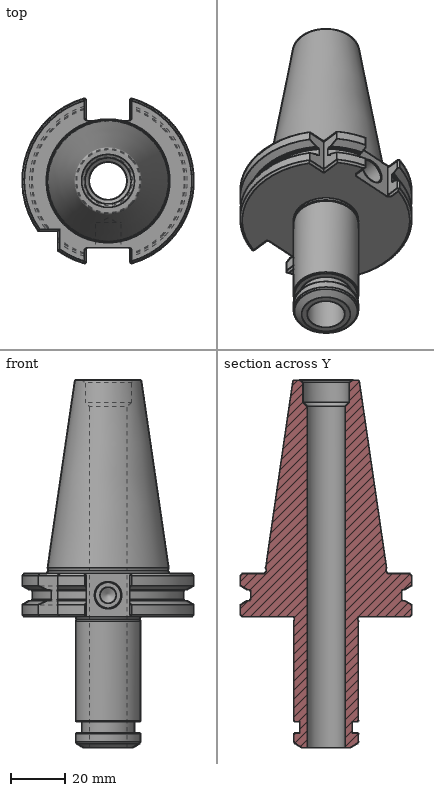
import cadquery as cq
import math

total_height = 135.8
flange_bottom = 48.3
flange_thickness = 16.0
flange_top = flange_bottom + flange_thickness
flange_middle = flange_bottom + flange_thickness / 2
gauge_height = 66.4

gauge_radius = 22.4
taper_half_angle = math.atan(7 / 48)
tip_radius = gauge_radius - (total_height - gauge_height) * math.tan(taper_half_angle)
tip_fillet = 0.8
taper_foot_radius = 22.8
relief_depth = 0.3

flange_radius = 63.4 / 2
flange_chamfer = 0.8
groove_root_radius = 28.0
groove_step_radius = 29.0
groove_root_width = 4.0
groove_root_break = 0.4
groove_flank_angle = math.radians(30)
groove_half_root = groove_root_width / 2
groove_half_mouth = groove_half_root + (flange_radius - groove_step_radius) * math.tan(groove_flank_angle)

shank_radius = 24.0 / 2
shank_relief_height = 1.6
neck_radius = 19.5 / 2
neck_bottom = 5.5
neck_top = 9.6
edge_break = 0.4
rim_break = 0.7
end_radius = 9.0
end_cone_height = 1.6

through_radius = 13.8 / 2
counterbore_radius = 17.0 / 2
counterbore_depth = 8.3
counterbore_cone_height = 1.5
mouth_radius = 19.5 / 2
mouth_depth = 1.0

slot_half_width = 8.0
slot_chamfer = 0.8
slot_corner_radius = 1.2
front_slot_floor = 24.7
back_slot_floor = 22.3
notch_distance = 18.6
notch_chamfer = 0.8

side_hole_radius = 10.0 / 2
side_hole_chamfer = 0.3
side_hole_depth = 9.5
pilot_radius = 6.0 / 2
drill_tip_angle = math.radians(59)


def revolve_profile(points):
    """Revolve a closed outline of (radius, height) points about Z."""
    return cq.Workplane("XZ").polyline(points).close().revolve(360, (0, 0, 0), (0, 1, 0))


def make_body():
    """Turned outside shape: shank, flange and taper."""
    body = revolve_profile([
        (0, 0),
        (end_radius, 0),
        (shank_radius - edge_break, end_cone_height),
        (shank_radius, end_cone_height + rim_break),
        (shank_radius, neck_bottom - edge_break),
        (shank_radius - edge_break, neck_bottom),
        (neck_radius, neck_bottom),
        (neck_radius, neck_top),
        (shank_radius - edge_break, neck_top),
        (shank_radius, neck_top + edge_break),
        (shank_radius, flange_bottom - shank_relief_height),
        (shank_radius - relief_depth, flange_bottom - shank_relief_height / 2),
        (shank_radius, flange_bottom),
        (flange_radius - flange_chamfer, flange_bottom),
        (flange_radius, flange_bottom + flange_chamfer),
        (flange_radius, flange_middle - groove_half_mouth),
        (groove_step_radius, flange_middle - groove_half_root),
        (groove_root_radius + groove_root_break, flange_middle - groove_half_root),
        (groove_root_radius, flange_middle - groove_half_root + groove_root_break),
        (groove_root_radius, flange_middle + groove_half_root - groove_root_break),
        (groove_root_radius + groove_root_break, flange_middle + groove_half_root),
        (groove_step_radius, flange_middle + groove_half_root),
        (flange_radius, flange_middle + groove_half_mouth),
        (flange_radius, flange_top - flange_chamfer),
        (flange_radius - flange_chamfer, flange_top),
        (taper_foot_radius, flange_top),
        (gauge_radius - relief_depth, (flange_top + gauge_height) / 2),
        (gauge_radius, gauge_height),
        (tip_radius, total_height),
        (0, total_height),
    ])
    return body.faces(">Z").edges().fillet(tip_fillet)


def make_bore():
    """Stepped axial bore, wider at the taper end."""
    counterbore_floor = total_height - counterbore_depth
    return revolve_profile([
        (0, 0),
        (through_radius, 0),
        (through_radius, counterbore_floor - counterbore_cone_height),
        (counterbore_radius, counterbore_floor),
        (counterbore_radius, total_height - mouth_depth),
        (mouth_radius, total_height),
        (0, total_height),
    ])


def make_slot(floor):
    """Cutter for a drive slot on the +Y side, with chamfered side walls."""
    wide = slot_half_width + slot_chamfer
    slot = (
        cq.Workplane("XZ", origin=(0, floor, 0))
        .polyline([
            (-wide, flange_bottom),
            (wide, flange_bottom),
            (slot_half_width, flange_bottom + slot_chamfer),
            (slot_half_width, flange_top - slot_chamfer),
            (wide, flange_top),
            (-wide, flange_top),
            (-slot_half_width, flange_top - slot_chamfer),
            (-slot_half_width, flange_bottom + slot_chamfer),
        ])
        .close()
        .extrude(floor - flange_radius)
    )
    rounded_block = (
        cq.Workplane("XY", origin=(0, 0, flange_bottom))
        .center(0, (floor + flange_radius) / 2)
        .rect(2 * wide, flange_radius - floor)
        .extrude(flange_thickness)
        .edges("|Z and <Y")
        .fillet(slot_corner_radius)
    )
    corner = math.sqrt(flange_radius**2 - slot_half_width**2)
    flare_start = corner - slot_chamfer
    flare_half_width = slot_half_width + flange_radius - flare_start
    flare = (
        cq.Workplane("XY", origin=(0, 0, flange_bottom))
        .polyline([
            (-slot_half_width, flare_start),
            (slot_half_width, flare_start),
            (flare_half_width, flange_radius),
            (-flare_half_width, flange_radius),
        ])
        .close()
        .extrude(flange_thickness)
    )
    return slot.intersect(rounded_block).union(flare)


def make_notch():
    """Cutter for the orientation notch at -X, -Y, widened at both flange faces."""
    size = flange_radius - notch_distance
    center = -(notch_distance + flange_radius) / 2
    notch = (
        cq.Workplane("XY", origin=(center, center, flange_bottom))
        .rect(size, size)
        .extrude(flange_thickness)
    )
    wide_size = size + 2 * notch_chamfer
    flare_angle = 45
    flare = (
        cq.Workplane("XY", origin=(center, center, flange_bottom))
        .rect(wide_size, wide_size)
        .extrude(notch_chamfer, taper=flare_angle)
    )
    return notch.union(flare).union(flare.mirror("XY", (0, 0, flange_middle)))


def make_side_hole():
    """Cutter for the blind hole: a broken rim and a flat floor with a conical drill point."""
    tip_height = pilot_radius / math.tan(drill_tip_angle)
    hole = (
        cq.Workplane("XY")
        .polyline([
            (0, 0),
            (side_hole_radius, 0),
            (side_hole_radius - side_hole_chamfer, side_hole_chamfer),
            (side_hole_radius - side_hole_chamfer, side_hole_depth),
            (pilot_radius, side_hole_depth),
            (0, side_hole_depth + tip_height),
        ])
        .close()
        .revolve(360, (0, 0, 0), (0, 1, 0))
    )
    return hole.translate((0, -front_slot_floor, flange_middle))


back_slot = make_slot(back_slot_floor)
front_slot = make_slot(front_slot_floor).mirror("XZ")

result = (
    make_body()
    .cut(make_bore())
    .cut(back_slot)
    .cut(front_slot)
    .cut(make_notch())
    .cut(make_side_hole())
)